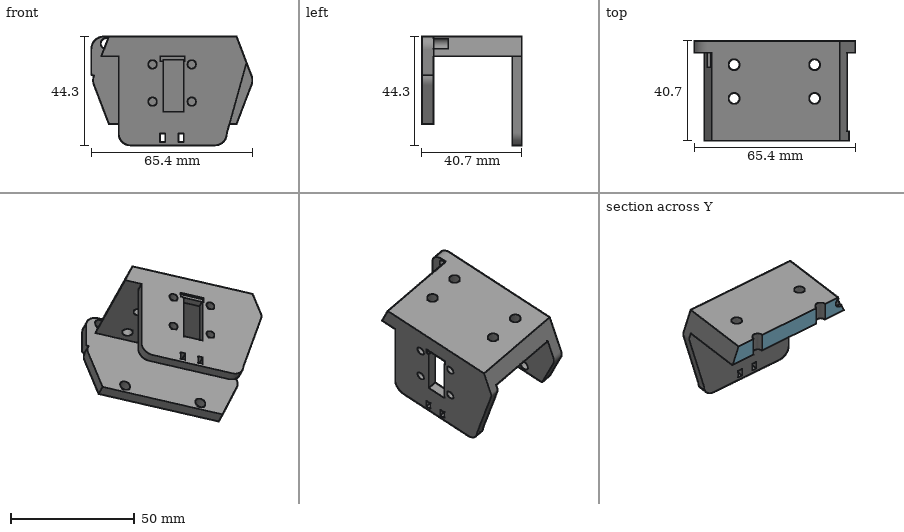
import cadquery as cq
import math

width = 65.45
depth = 40.65
height = 44.3
slab_thickness = 8.2
back_thickness = 4.85
front_thickness = 4.0

hex_height = 35.7
hex_top_half_width = 25.9
hex_half_width = 32.7
hex_corner_radius = 5.0
hex_slope = (hex_half_width - hex_top_half_width) / (hex_height / 2)
hex_corner_loss = hex_corner_radius * (math.hypot(1, hex_slope) - 1)

ear_left = hex_half_width - hex_corner_loss - width
ear_bottom = -15.85
ear_radius = 5.25
ear_lower_radius = 0.65

front_half_width = 22.0
front_corner_radius = 4.9
shoulder_z = -10.6
shoulder_radius = 2.5

large_hole = 4.3
small_hole = 3.5
slab_hole_x = (-16.9, 15.8)
slab_hole_y = (-9.7, -23.4)
back_hole_x = (-16.25, 16.25)
back_hole_z = -32.3
ear_hole_x = -27.05
ear_hole_z = -2.95
ear_hole_depth = 10.75
servo_hole_x = (-8.2, 7.7)
servo_hole_z = (-11.4, -26.5)

slot = (-3.8, 4.45, -30.65, -9.5)
slot_recess = (-5.1, 4.85, -10.15, -8.1)
recess_depth = 1.0
strap_windows = (
    (-5.1, -3.1, -42.8, -39.5),
    (2.35, 4.45, -42.8, -39.5),
)


def half_width_at(z):
    """Half width of the upper part of the hexagon at height z."""
    return hex_top_half_width - z * hex_slope


def front_plane(y):
    """Sketch plane facing -Y, with X across and Z up."""
    return cq.Workplane("XZ", origin=(0, y, 0))


def box_cut(opening, y, length):
    """Rectangular cutter running from y towards -Y."""
    left, right, bottom, top = opening
    center = ((left + right) / 2, (bottom + top) / 2)
    return front_plane(y).center(*center).rect(right - left, top - bottom).extrude(length)


def make_slab():
    lower_half_width = half_width_at(-slab_thickness)
    outline = [
        (-hex_top_half_width, 0),
        (hex_top_half_width, 0),
        (lower_half_width, -slab_thickness),
        (-lower_half_width, -slab_thickness),
    ]
    return front_plane(0).polyline(outline).close().extrude(depth)


def make_back_plate():
    outline = [
        (-hex_top_half_width, 0),
        (hex_top_half_width, 0),
        (hex_half_width, -hex_height / 2),
        (hex_top_half_width, -hex_height),
        (-hex_top_half_width, -hex_height),
        (-hex_half_width, -hex_height / 2),
    ]
    plate = front_plane(0).polyline(outline).close().extrude(back_thickness)
    plate = plate.edges("|Y and (<X or >X)").fillet(hex_corner_radius)
    ear_outline = [
        (ear_left, 0),
        (-hex_top_half_width, 0),
        (-hex_top_half_width, ear_bottom),
        (ear_left, ear_bottom),
    ]
    ear = front_plane(0).polyline(ear_outline).close().extrude(back_thickness)
    ear = ear.edges("|Y and <X and >Z").fillet(ear_radius)
    ear = ear.edges("|Y and <Z and <X").fillet(ear_lower_radius)
    return plate.union(ear)


def make_front_plate():
    r = front_corner_radius
    arc_inset = r * (1 - math.sqrt(0.5))
    outline = (
        front_plane(-depth + front_thickness)
        .moveTo(-front_half_width, 0)
        .lineTo(hex_top_half_width, 0)
        .lineTo(half_width_at(shoulder_z), shoulder_z)
        .lineTo(front_half_width, r - height)
        .threePointArc(
            (front_half_width - arc_inset, arc_inset - height),
            (front_half_width - r, -height),
        )
        .lineTo(r - front_half_width, -height)
        .threePointArc(
            (arc_inset - front_half_width, arc_inset - height),
            (-front_half_width, r - height),
        )
        .close()
    )
    return outline.extrude(front_thickness).edges("|Y and >X").fillet(shoulder_radius)


def cut_slab_holes(body):
    points = [(x, y) for x in slab_hole_x for y in slab_hole_y]
    holes = cq.Workplane("XY").pushPoints(points).circle(large_hole / 2).extrude(-slab_thickness)
    return body.cut(holes)


def cut_back_holes(body):
    points = [(x, back_hole_z) for x in back_hole_x]
    holes = front_plane(0).pushPoints(points).circle(large_hole / 2).extrude(back_thickness)
    ear_hole = front_plane(0).center(ear_hole_x, ear_hole_z).circle(large_hole / 2)
    return body.cut(holes).cut(ear_hole.extrude(ear_hole_depth))


def cut_front_openings(body):
    inner_y = -depth + front_thickness
    points = [(x, z) for x in servo_hole_x for z in servo_hole_z]
    holes = front_plane(inner_y).pushPoints(points).circle(small_hole / 2)
    body = body.cut(holes.extrude(front_thickness))
    for opening in (slot, *strap_windows):
        body = body.cut(box_cut(opening, inner_y, front_thickness))
    return body.cut(box_cut(slot_recess, -depth + recess_depth, recess_depth))


result = make_slab().union(make_back_plate()).union(make_front_plate())
result = cut_slab_holes(result)
result = cut_back_holes(result)
result = cut_front_openings(result)